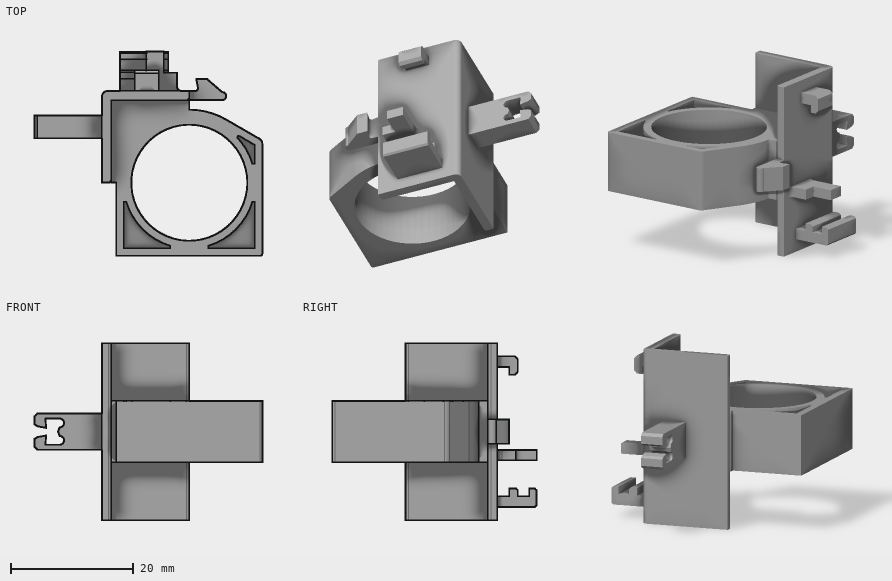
import cadquery as cq
import math


overall_length = 37.33

bore_radius = 9.5
body_half_width = 12.0
body_half_height = 5.05
body_corner_radius = 0.4
slope_corner_radius = 1.0
slope_angle = 30.0

pocket_wall_distance = 10.7
pocket_ring_radius = 10.8
pocket_end_distance = 3.1
pocket_depth = 3.0

plate_height = 29.0
plate_left = -14.35
plate_back = 15.05
plate_thickness = 1.53
plate_corner_radius = 1.0
plate_end_radius = 0.5
plate_inner_left = plate_left + plate_thickness
plate_inner_back = plate_back - plate_thickness

prong_left = body_half_width - overall_length
prong_front = 7.28
prong_back = 11.0
prong_half_height = 3.0
prong_chamfer = 0.5
cavity_half_height = 2.13
lip_root_x = prong_left + 1.8
lip_tip_x = prong_left + 1.95
mouth_outer_half = 1.2
mouth_knee_half = 0.85
mouth_knee_length = 0.52
mouth_inner_half = 0.6
lobe_radius = 0.7
lobe_x = prong_left + 4.1
ridge_x = lobe_x - 0.25

hook_outer_z = 12.35
hook_floor_z = 10.55
hook_tooth_z = 9.3
tooth_front = 17.0
tooth_back = 18.4
upper_hook_x = (-8.95, -4.95)
upper_hook_chamfer = 0.5
lower_hook_x = (-11.35, -3.45)
lower_hook_chamfer = 0.3
end_tooth_front = 20.25
lower_hook_back = 21.45

tab_bottom = -4.7
tab_thickness = 1.7
tab_left = -7.0
tab_step_x = -4.18
tab_right = -2.0
tab_step_y = 18.03
tab_back = 21.5
tab_left_fillet = 1.0
tab_right_fillet = 0.75

clip_half_height = 2.0
clip_tooth_y = 17.0
clip_tooth_left = 1.12
clip_tooth_right = 2.9
clip_root_x = 1.5
clip_tip_x = 6.05
clip_root_fillet = 0.45
clip_tip_radius = 0.67

overlap = 0.37


def slab(outline, bottom, top):
    """Extrude a closed XY outline between two heights."""
    return outline.extrude(top - bottom).translate((0, 0, bottom))


def slab_along_x(points, x_range):
    """Extrude a (Y, Z) outline between two X positions."""
    start, end = x_range
    return cq.Workplane("YZ", origin=(start, 0, 0)).polyline(points).close().extrude(end - start)


def edge_at(x, y):
    """Select the vertical edge at a given place."""
    reach = 0.02
    low = (x - reach, y - reach, -plate_height)
    high = (x + reach, y + reach, plate_height)
    return cq.selectors.BoxSelector(low, high)


def make_body():
    angle = math.radians(90 - slope_angle)
    half_angle = (math.pi / 2 + angle) / 2
    radius = body_half_width
    slope_end_y = radius * (1 - math.cos(angle)) / math.sin(angle)
    outline = (
        cq.Workplane("XY")
        .moveTo(plate_inner_left, 0)
        .lineTo(-radius, 0)
        .lineTo(-radius, -radius)
        .lineTo(radius, -radius)
        .lineTo(radius, slope_end_y)
        .lineTo(radius * math.cos(angle), radius * math.sin(angle))
        .threePointArc((radius * math.cos(half_angle), radius * math.sin(half_angle)), (0, radius))
        .lineTo(0, plate_inner_back)
        .lineTo(plate_inner_left, plate_inner_back)
        .close()
    )
    body = slab(outline, -body_half_height, body_half_height)
    body = body.edges(edge_at(radius, -radius)).fillet(body_corner_radius)
    return body.edges(edge_at(radius, slope_end_y)).fillet(slope_corner_radius)


def make_pocket(first_wall_angle, second_wall_angle):
    """Pocket between two walls facing the given directions, open towards the ring."""
    first = math.radians(first_wall_angle)
    second = math.radians(second_wall_angle)
    half_turn = (second - first) / 2
    corner_run = pocket_wall_distance * math.tan(half_turn)

    def on_wall(angle, distance, run):
        return (
            distance * math.cos(angle) - run * math.sin(angle),
            distance * math.sin(angle) + run * math.cos(angle),
        )

    inside = pocket_wall_distance / 2
    points = [
        on_wall(first, inside, pocket_end_distance),
        on_wall(first, pocket_wall_distance, pocket_end_distance),
        on_wall(first, pocket_wall_distance, corner_run),
        on_wall(second, pocket_wall_distance, -pocket_end_distance),
        on_wall(second, inside, -pocket_end_distance),
    ]
    floor = body_half_height - pocket_depth
    pocket = slab(cq.Workplane("XY").polyline(points).close(), floor, body_half_height)
    ring = slab(cq.Workplane("XY").circle(pocket_ring_radius), floor, body_half_height)
    return pocket.cut(ring)


def make_plate():
    points = [
        (plate_left, 0),
        (plate_inner_left, 0),
        (plate_inner_left, plate_inner_back),
        (0, plate_inner_back),
        (0, plate_back),
        (plate_left, plate_back),
    ]
    plate = slab(cq.Workplane("XY").polyline(points).close(), -plate_height / 2, plate_height / 2)
    plate = plate.edges(edge_at(plate_left, plate_back)).fillet(plate_corner_radius)
    for inner_corner in [(plate_inner_left, 0), (0, plate_inner_back)]:
        plate = plate.edges(edge_at(*inner_corner)).fillet(plate_end_radius)
    return plate


def make_prong():
    length = plate_left + overlap - prong_left
    width = prong_back - prong_front
    prong = (
        cq.Workplane("XY")
        .box(length, width, 2 * prong_half_height, centered=(False, False, True))
        .translate((prong_left, prong_front, 0))
        .edges("<X and |Y")
        .chamfer(prong_chamfer)
    )

    lobe_z = cavity_half_height - lobe_radius
    lobe_inner_z = lobe_z - lobe_radius
    knee_x = prong_left + mouth_knee_length
    cavity = (
        cq.Workplane("XZ", origin=(0, prong_back, 0))
        .moveTo(prong_left, mouth_outer_half)
        .lineTo(knee_x, mouth_knee_half)
        .lineTo(lip_tip_x, mouth_inner_half)
        .lineTo(lip_root_x, cavity_half_height)
        .lineTo(lobe_x, cavity_half_height)
        .threePointArc((lobe_x + lobe_radius, lobe_z), (lobe_x, lobe_inner_z))
        .lineTo(ridge_x, 0)
        .lineTo(lobe_x, -lobe_inner_z)
        .threePointArc((lobe_x + lobe_radius, -lobe_z), (lobe_x, -cavity_half_height))
        .lineTo(lip_root_x, -cavity_half_height)
        .lineTo(lip_tip_x, -mouth_inner_half)
        .lineTo(knee_x, -mouth_knee_half)
        .lineTo(prong_left, -mouth_outer_half)
        .close()
        .extrude(width)
    )
    return prong.cut(cavity)


def make_upper_hook():
    chamfer = upper_hook_chamfer
    points = [
        (plate_back - overlap, hook_outer_z),
        (tooth_back - chamfer, hook_outer_z),
        (tooth_back, hook_outer_z - chamfer),
        (tooth_back, hook_tooth_z + chamfer),
        (tooth_back - chamfer, hook_tooth_z),
        (tooth_front, hook_tooth_z),
        (tooth_front, hook_floor_z),
        (plate_back - overlap, hook_floor_z),
    ]
    return slab_along_x(points, upper_hook_x)


def make_lower_hook():
    chamfer = lower_hook_chamfer
    points = [
        (plate_back - overlap, -hook_outer_z),
        (lower_hook_back - chamfer, -hook_outer_z),
        (lower_hook_back, -hook_outer_z + chamfer),
        (lower_hook_back, -hook_tooth_z - chamfer),
        (lower_hook_back - chamfer, -hook_tooth_z),
        (end_tooth_front, -hook_tooth_z),
        (end_tooth_front, -hook_floor_z),
        (tooth_back, -hook_floor_z),
        (tooth_back, -hook_tooth_z - chamfer),
        (tooth_back - chamfer, -hook_tooth_z),
        (tooth_front, -hook_tooth_z),
        (tooth_front, -hook_floor_z),
        (plate_back - overlap, -hook_floor_z),
    ]
    return slab_along_x(points, lower_hook_x)


def make_tab():
    foot_left = tab_left - tab_left_fillet
    foot_right = tab_right + tab_right_fillet
    outline = (
        cq.Workplane("XY")
        .moveTo(foot_left, plate_back - overlap)
        .lineTo(foot_left, plate_back)
        .radiusArc((tab_left, plate_back + tab_left_fillet), -tab_left_fillet)
        .lineTo(tab_left, tab_back)
        .lineTo(tab_step_x, tab_back)
        .lineTo(tab_step_x, tab_step_y)
        .lineTo(tab_right, tab_step_y)
        .lineTo(tab_right, plate_back + tab_right_fillet)
        .radiusArc((foot_right, plate_back), -tab_right_fillet)
        .lineTo(foot_right, plate_back - overlap)
        .close()
    )
    return slab(outline, tab_bottom, tab_bottom + tab_thickness)


def make_clip():
    tip_centre_x = clip_tip_x - clip_tip_radius
    outline = (
        cq.Workplane("XY")
        .moveTo(-plate_end_radius, plate_inner_back)
        .lineTo(tip_centre_x, plate_inner_back)
        .threePointArc(
            (clip_tip_x, plate_inner_back + clip_tip_radius),
            (tip_centre_x, plate_inner_back + 2 * clip_tip_radius),
        )
        .lineTo(clip_tooth_right, clip_tooth_y)
        .lineTo(clip_tooth_left, clip_tooth_y)
        .lineTo(clip_root_x, plate_back)
        .lineTo(-plate_end_radius, plate_back)
        .close()
    )
    clip = slab(outline, -clip_half_height, clip_half_height)
    return clip.edges(edge_at(clip_root_x, plate_back)).fillet(clip_root_fillet)


result = make_body()
for feature in [
    make_plate(),
    make_prong(),
    make_upper_hook(),
    make_lower_hook(),
    make_tab(),
    make_clip(),
]:
    result = result.union(feature)

for wall_angles in [(180, 270), (270, 360), (0, 90 - slope_angle)]:
    result = result.cut(make_pocket(*wall_angles))

bore = slab(cq.Workplane("XY").circle(bore_radius), -body_half_height, body_half_height)
result = result.cut(bore)